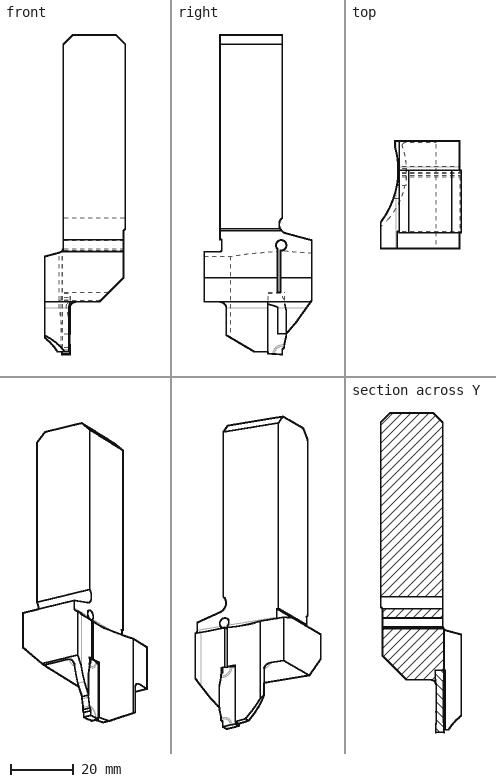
import cadquery as cq
import math

TOTAL_HEIGHT = 101.8
TOTAL_WIDTH = 25.8
HEAD_DEPTH = 34.3
MARGIN = 1.0

SHANK_WIDTH = 19.8
SHANK_DEPTH = 20.0
SHANK_FRONT = 5.0
SHANK_CHAMFER = 3.1
SHANK_LEFT = TOTAL_WIDTH - SHANK_WIDTH
SHANK_BACK = SHANK_FRONT + SHANK_DEPTH

STEP = 0.6
SIDE_STEP_Z = 39.4
FRONT_STEP_Z = 36.6
FRONT_FILLET = 0.5
HEAD_RIGHT = TOTAL_WIDTH - STEP
NECK_FRONT = SHANK_FRONT + STEP

SLOPE_ANGLE = math.radians(15)
HEAD_BOTTOM = 16.8
HEAD_FRONT_TOP = 32.8
HEAD_LEFT_TOP = 31.2
HEAD_CHAMFER = 7.6
NECK_FILLET = 1.4
WING_TOP = 36.4
UNDERCUT_RADIUS = 2.9
UNDERCUT_DEPTH = 1.0

BLADE_CENTER_Y = 24.9
BLADE_FRONT = 7.0
BLADE_FILLET = 1.8
INNER_APEX = 5.6
INNER_START = 8.3
OUTER_APEX = 8.1
WING_LEFT = 4.6
BLADE_BOTTOM = 0.9
BLADE_TOE = 16.0
BLADE_NOSE_Z = 6.2
JAW_TOP_Z = 17.3
JAW_KINK_Y = 29.2
JAW_KINK_Z = 10.2
JAW_TIP_Z = 6.6

HOLE_Y = 24.5
HOLE_Z = 34.8
HOLE_RADIUS = 1.6
SLOT_CENTER_Y = 23.8
SLOT_WIDTH = 0.9

INSERT_LENGTH = 19.8
INSERT_FRONT = 20.3
INSERT_LEFT = 5.5
INSERT_RIGHT = 8.2
WAIST_BACK = 26.2
SHOULDER_BACK = 25.5
TIP_BACK = 24.9
TIP_Z = 1.6
SHOULDER_Z = 2.3
SHOULDER_END_Z = 3.2
WAIST_Z = 5.9
END_RELIEF = 0.3
SIDE_RELIEF = 0.15
FLARE_BASE_RADIUS = 3.3
FLARE_TIP_RADIUS = 2.7


def apex_radius(apex, start_y):
    """Radius of the arc that leaves X = 0 at start_y and peaks at apex on the blade centre."""
    half_chord = BLADE_CENTER_Y - start_y
    return (half_chord**2 + apex**2) / (2 * apex)


def box(x0, x1, y0, y1, z0, z1):
    return cq.Workplane("XY").box(x1 - x0, y1 - y0, z1 - z0, centered=False).translate((x0, y0, z0))


def side_extrusion(profile):
    """Extrude a closed (Y, Z) profile across the full width."""
    return profile.extrude(TOTAL_WIDTH + 2 * MARGIN).translate((-MARGIN, 0, 0))


def front_profile():
    """X-Z outline of shank and head, with the sloped shoulder blended into the shank."""
    tangent = NECK_FILLET * math.tan((math.pi / 2 - SLOPE_ANGLE) / 2)
    corner_z = HEAD_LEFT_TOP + SHANK_LEFT * math.tan(SLOPE_ANGLE)
    blend_start = (SHANK_LEFT - tangent * math.cos(SLOPE_ANGLE), corner_z - tangent * math.sin(SLOPE_ANGLE))
    blend_end = (SHANK_LEFT, corner_z + tangent)
    return (
        cq.Workplane("XZ")
        .moveTo(0, 0)
        .lineTo(0, HEAD_LEFT_TOP)
        .lineTo(*blend_start)
        .radiusArc(blend_end, -NECK_FILLET)
        .lineTo(SHANK_LEFT, TOTAL_HEIGHT - SHANK_CHAMFER)
        .lineTo(SHANK_LEFT + SHANK_CHAMFER, TOTAL_HEIGHT)
        .lineTo(TOTAL_WIDTH - SHANK_CHAMFER, TOTAL_HEIGHT)
        .lineTo(TOTAL_WIDTH, TOTAL_HEIGHT - SHANK_CHAMFER)
        .lineTo(TOTAL_WIDTH, SIDE_STEP_Z + STEP)
        .lineTo(HEAD_RIGHT, SIDE_STEP_Z)
        .lineTo(HEAD_RIGHT, HEAD_BOTTOM + HEAD_CHAMFER)
        .lineTo(HEAD_RIGHT - HEAD_CHAMFER, HEAD_BOTTOM)
        .lineTo(HEAD_RIGHT - HEAD_CHAMFER, 0)
        .close()
        .extrude(-HEAD_DEPTH)
    )


def side_profile():
    """Y-Z outline of shank, head, wing and blade."""
    r = UNDERCUT_RADIUS
    center_y = SHANK_BACK - UNDERCUT_DEPTH + r
    tangent_y = center_y - r * math.sin(SLOPE_ANGLE)
    tangent_z = WING_TOP + (HEAD_DEPTH - tangent_y) * math.tan(SLOPE_ANGLE)
    center_z = tangent_z + r * math.cos(SLOPE_ANGLE)
    undercut_top = center_z + math.sqrt(r**2 - (center_y - SHANK_BACK) ** 2)
    profile = (
        cq.Workplane("YZ")
        .moveTo(BLADE_FRONT, BLADE_NOSE_Z)
        .lineTo(BLADE_FRONT, HEAD_BOTTOM - BLADE_FILLET)
        .lineTo(0, HEAD_BOTTOM - BLADE_FILLET)
        .lineTo(0, HEAD_FRONT_TOP)
        .lineTo(NECK_FRONT - FRONT_FILLET, HEAD_FRONT_TOP)
        .radiusArc((NECK_FRONT, HEAD_FRONT_TOP + FRONT_FILLET), -FRONT_FILLET)
        .lineTo(NECK_FRONT, FRONT_STEP_Z)
        .lineTo(SHANK_FRONT, FRONT_STEP_Z)
        .lineTo(SHANK_FRONT, TOTAL_HEIGHT)
        .lineTo(SHANK_BACK, TOTAL_HEIGHT)
        .lineTo(SHANK_BACK, undercut_top)
        .threePointArc((center_y - r, center_z), (tangent_y, tangent_z))
        .lineTo(HEAD_DEPTH, WING_TOP)
        .lineTo(HEAD_DEPTH, JAW_TOP_Z)
        .lineTo(JAW_KINK_Y, JAW_KINK_Z)
        .lineTo(WAIST_BACK, JAW_TIP_Z)
        .lineTo(INSERT_FRONT, JAW_TIP_Z)
        .lineTo(INSERT_FRONT, BLADE_BOTTOM)
        .lineTo(BLADE_TOE, BLADE_BOTTOM)
        .close()
    )
    return side_extrusion(profile)


def inner_void():
    """Space on the concave side of the blade, open to the left."""
    radius = apex_radius(INNER_APEX, INNER_START)
    round_void = (
        cq.Workplane("XY")
        .center(INNER_APEX - radius, BLADE_CENTER_Y)
        .circle(radius)
        .extrude(WING_TOP)
    )
    half_chord = math.sqrt(radius**2 - (radius - INNER_APEX + WING_LEFT) ** 2)
    wing_flat = box(-MARGIN, WING_LEFT, BLADE_CENTER_Y + half_chord, HEAD_DEPTH + MARGIN, 0, WING_TOP + MARGIN)
    return round_void.union(wing_flat)


def outer_void():
    """Space under the head outside the convex blade face, rounded where blade and head meet."""
    radius = apex_radius(OUTER_APEX, BLADE_FRONT)
    axis_x = OUTER_APEX - radius
    far = radius + HEAD_DEPTH
    ring = (
        cq.Workplane("XZ")
        .moveTo(radius, -MARGIN)
        .lineTo(radius, HEAD_BOTTOM - BLADE_FILLET)
        .radiusArc((radius + BLADE_FILLET, HEAD_BOTTOM), BLADE_FILLET)
        .lineTo(far, HEAD_BOTTOM)
        .lineTo(far, -MARGIN)
        .close()
        .revolve(360, (0, 0, 0), (0, 1, 0))
    )
    return ring.translate((axis_x, BLADE_CENTER_Y, 0))


def clamping_slot():
    """Round relief hole with a thin slot down to the insert."""
    hole = side_extrusion(cq.Workplane("YZ").center(HOLE_Y, HOLE_Z).circle(HOLE_RADIUS))
    slit = box(
        -MARGIN, TOTAL_WIDTH + MARGIN,
        SLOT_CENTER_Y - SLOT_WIDTH / 2, SLOT_CENTER_Y + SLOT_WIDTH / 2,
        INSERT_LENGTH, HOLE_Z,
    )
    return hole.union(slit)


def insert_outline(x_left, x_right):
    """Double-ended insert outline, mirrored about its mid height, between two X planes."""
    lower_back = [
        (TIP_BACK, 0),
        (TIP_BACK, TIP_Z),
        (SHOULDER_BACK, SHOULDER_Z),
        (SHOULDER_BACK, SHOULDER_END_Z),
        (WAIST_BACK, WAIST_Z),
    ]
    upper_back = [(y, INSERT_LENGTH - z) for y, z in reversed(lower_back)]
    front = [(INSERT_FRONT, INSERT_LENGTH - END_RELIEF), (INSERT_FRONT, END_RELIEF)]
    outline = cq.Workplane("YZ").polyline(lower_back + upper_back + front).close()
    return outline.extrude(x_right - x_left).translate((x_left, 0, 0))


def cutting_flares():
    """Tapered discs that widen the insert at both cutting tips, on both sides."""
    flares = cq.Workplane("YZ")
    for tip_z in (0, INSERT_LENGTH):
        for base_x, direction in ((INSERT_LEFT + SIDE_RELIEF, -1), (INSERT_RIGHT - SIDE_RELIEF, 1)):
            flares = flares.add(
                cq.Solid.makeCone(
                    FLARE_BASE_RADIUS, FLARE_TIP_RADIUS, SIDE_RELIEF,
                    cq.Vector(base_x, TIP_BACK, tip_z), cq.Vector(direction, 0, 0),
                )
            )
    return flares.combine()


def make_insert():
    """Grooving insert with a wider cutting head at each end."""
    body = insert_outline(INSERT_LEFT + SIDE_RELIEF, INSERT_RIGHT - SIDE_RELIEF)
    heads = cutting_flares().intersect(insert_outline(INSERT_LEFT, INSERT_RIGHT))
    return body.union(heads)


def insert_pocket():
    """Seat for the insert, open to the left and square in its upper corner."""
    seat = insert_outline(-MARGIN, INSERT_RIGHT - SIDE_RELIEF)
    corner = box(
        -MARGIN, INSERT_RIGHT - SIDE_RELIEF,
        INSERT_FRONT, SHOULDER_BACK,
        INSERT_LENGTH - SHOULDER_Z, INSERT_LENGTH,
    )
    return seat.union(corner)


def make_holder(seated_insert):
    """Shank, head and blade in one piece, cut to receive the seated insert."""
    blank = front_profile().intersect(side_profile())
    return (
        blank.cut(inner_void())
        .cut(outer_void())
        .cut(clamping_slot())
        .cut(insert_pocket())
        .cut(seated_insert)
    )


insert = make_insert()
holder = make_holder(insert)
result = cq.Compound.makeCompound([holder.solids().val(), insert.solids().val()])